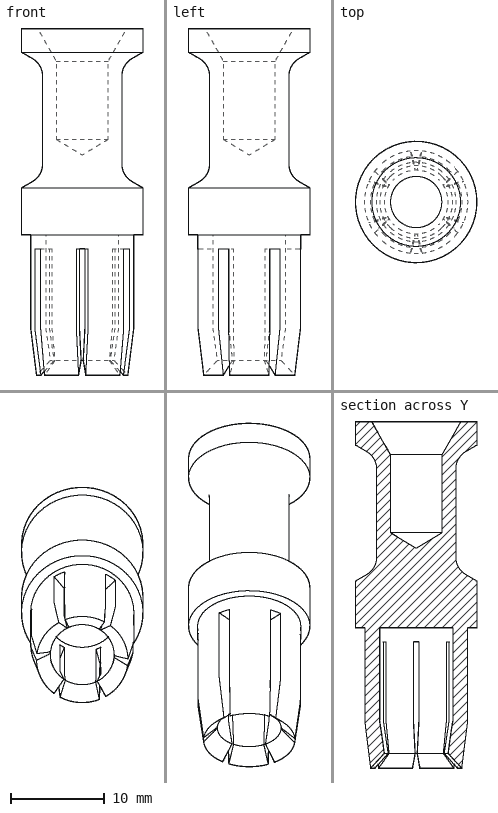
import cadquery as cq
import math

total_height = 37.0
flare_height = 2.5
head_thickness = 2.5
head_bottom = total_height - head_thickness
collar_bottom = 15.0
collar_top = 20.0
taper_top = 5.0
slot_top = 13.5

head_radius = 6.495
neck_radius = 4.25
sleeve_radius = 5.5
tip_radius = 4.9
flare_angle = math.radians(30)

cup_mouth_radius = 4.75
cup_radius = 2.75
cup_sink_depth = 3.5
cup_depth = 11.85
drill_half_angle = math.radians(59)
drill_tip_height = cup_radius / math.tan(drill_half_angle)

bore_radius = 3.9
lip_radius = 3.4
bore_depth = collar_bottom
lead_in_height = 1.6

slot_count = 6
slot_outer_width = 1.25
slot_inner_width = 0.55
tip_narrowing = 0.22

flare_width = head_radius - neck_radius
turn_angle = math.pi / 2 - flare_angle
arc_radius = (flare_height - flare_width * math.tan(flare_angle)) / (
    math.sin(turn_angle) - (1 - math.cos(turn_angle)) * math.tan(flare_angle)
)


def flare_point(neck_end, direction, angle):
    """Point on the flare arc; direction is +1 for a flare opening upward."""
    return (
        neck_radius + arc_radius * (1 - math.cos(angle)),
        neck_end + direction * arc_radius * math.sin(angle),
    )


def make_body():
    """Revolved head, neck, collar and tapered sleeve."""
    lower_end = collar_top + flare_height
    upper_end = head_bottom - flare_height
    return (
        cq.Workplane("XZ")
        .lineTo(tip_radius, 0)
        .lineTo(sleeve_radius, taper_top)
        .lineTo(sleeve_radius, collar_bottom)
        .lineTo(head_radius, collar_bottom)
        .lineTo(head_radius, collar_top)
        .lineTo(*flare_point(lower_end, -1, turn_angle))
        .threePointArc(flare_point(lower_end, -1, turn_angle / 2), (neck_radius, lower_end))
        .lineTo(neck_radius, upper_end)
        .threePointArc(flare_point(upper_end, 1, turn_angle / 2), flare_point(upper_end, 1, turn_angle))
        .lineTo(head_radius, head_bottom)
        .lineTo(head_radius, total_height)
        .lineTo(0, total_height)
        .close()
        .revolve(360, (0, 0), (0, 1))
    )


def make_cup():
    """Blind hole with a conical mouth and a drill-point bottom."""
    floor = total_height - cup_depth
    profile = [
        (0, total_height),
        (cup_mouth_radius, total_height),
        (cup_radius, total_height - cup_sink_depth),
        (cup_radius, floor),
        (0, floor - drill_tip_height),
    ]
    return cq.Workplane("XZ").polyline(profile).close().revolve(360, (0, 0), (0, 1))


def make_socket():
    """Bore from below, narrowing to a lip and opening in a conical lead-in at the tips."""
    profile = [
        (0, 0),
        (tip_radius, 0),
        (lip_radius, lead_in_height),
        (bore_radius, taper_top),
        (bore_radius, bore_depth),
        (0, bore_depth),
    ]
    return cq.Workplane("XZ").polyline(profile).close().revolve(360, (0, 0), (0, 1))


def slot_outline(narrowing):
    """Slot cross-section, widening outward along +X to beyond the sleeve."""
    outer_end = head_radius
    widening = (slot_outer_width - slot_inner_width) / (sleeve_radius - bore_radius)
    inner_half = (slot_inner_width - narrowing - widening * (bore_radius - lip_radius)) / 2
    outer_half = inner_half + widening * (outer_end - lip_radius) / 2
    return [
        (lip_radius, -inner_half),
        (outer_end, -outer_half),
        (outer_end, outer_half),
        (lip_radius, inner_half),
    ]


def make_slot():
    """Straight wedge slot that narrows over the bent finger tips."""
    straight = (
        cq.Workplane("XY", origin=(0, 0, taper_top))
        .polyline(slot_outline(0))
        .close()
        .extrude(slot_top - taper_top)
    )
    narrowed = (
        cq.Workplane("XY")
        .polyline(slot_outline(tip_narrowing))
        .close()
        .workplane(offset=taper_top)
        .polyline(slot_outline(0))
        .close()
        .loft(ruled=True)
    )
    return straight.union(narrowed)


result = make_body().cut(make_cup()).cut(make_socket())
slot = make_slot()
slot_pitch = 360 / slot_count
for index in range(slot_count):
    angle = (index + 0.5) * slot_pitch
    result = result.cut(slot.rotate((0, 0, 0), (0, 0, 1), angle))